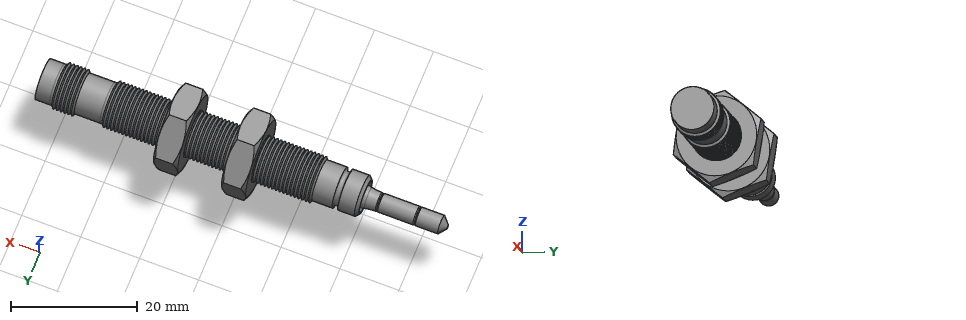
import cadquery as cq
import math

TOTAL_LENGTH = 68.6

ROD_RADIUS = 1.6
TIP_FLAT_RADIUS = 0.35
TIP_LENGTH = 1.1
BAND_WIDTH = 0.4
BAND_DEPTH = 0.1
BAND_CENTRES = (5.1, 11.45)
ROD_END = BAND_CENTRES[-1] + BAND_WIDTH / 2
SHANK_RADIUS = 1.1

BODY_DIAMETER = 6.9
BODY_RADIUS = BODY_DIAMETER / 2
BODY_START = 13.9
NOSE_CHAMFER = 0.55
RECESS_RADIUS = 2.6
NECK_CENTRE = 17.75
NECK_WIDTH = 0.95
NECK_DEPTH = 0.6

CREST_RADIUS = 3.9
ROOT_RADIUS = 3.5
RUN_OUT = 0.4
MAIN_THREAD_START = 21.7
MAIN_THREAD_LENGTH = 35.5
MAIN_THREAD_TURNS = 56
PITCH = MAIN_THREAD_LENGTH / MAIN_THREAD_TURNS
REAR_THREAD_START = 61.9
REAR_THREAD_TURNS = 6

SEAL_FLARE_RADIUS = 8.2
SEAL_FLARE_LENGTH = 1.8
SEAL_RADIUS = 1.9
SEAL_SEAT_START = BODY_START + RECESS_RADIUS - SEAL_RADIUS
SEAL_SEAT_DEPTH = 2.75
SEAL_END = SEAL_SEAT_START + SEAL_SEAT_DEPTH

NUT_ACROSS_CORNERS = 15.0
NUT_THICKNESS = 4.1
NUT_BORE_RADIUS = 4.0
NUT_STARTS = (31.7, 43.2)
NUT_TURN = 9.5
NUT_FACE_RADIUS = 6.45
NUT_CHAMFER_ANGLE = 30.0


def revolve_about_x(outline):
    """Close an outline drawn in X and Z, and turn it around the X axis."""
    return outline.close().revolve(360, (0, 0, 0), (1, 0, 0))


def band_groove(centre):
    """Cutter for a shallow V groove around the rod."""
    half_width = BAND_WIDTH / 2
    outline = cq.Workplane("XZ").polyline([
        (centre - half_width, ROD_RADIUS),
        (centre, ROD_RADIUS - BAND_DEPTH),
        (centre + half_width, ROD_RADIUS),
        (centre + half_width, ROD_RADIUS + BAND_DEPTH),
        (centre - half_width, ROD_RADIUS + BAND_DEPTH),
    ])
    return revolve_about_x(outline)


def make_plunger():
    outline = cq.Workplane("XZ").polyline([
        (0, 0),
        (0, TIP_FLAT_RADIUS),
        (TIP_LENGTH, ROD_RADIUS),
        (ROD_END, ROD_RADIUS),
        (ROD_END, SHANK_RADIUS),
        (SEAL_END, SHANK_RADIUS),
        (SEAL_END, 0),
    ])
    plunger = revolve_about_x(outline)
    for centre in BAND_CENTRES:
        plunger = plunger.cut(band_groove(centre))
    return plunger


def make_seal():
    """Sleeve that flares from the rod radius through an arc and a tangent cone to the seat."""
    flare_angle = math.asin(SEAL_FLARE_LENGTH / SEAL_FLARE_RADIUS)
    flare_end = ROD_END + SEAL_FLARE_LENGTH
    flare_end_radius = ROD_RADIUS + SEAL_FLARE_RADIUS * (1 - math.cos(flare_angle))
    cone_end = flare_end + (SEAL_RADIUS - flare_end_radius) / math.tan(flare_angle)
    outline = (
        cq.Workplane("XZ")
        .moveTo(ROD_END, SHANK_RADIUS)
        .lineTo(ROD_END, ROD_RADIUS)
        .radiusArc((flare_end, flare_end_radius), -SEAL_FLARE_RADIUS)
        .lineTo(cone_end, SEAL_RADIUS)
        .lineTo(SEAL_END, SEAL_RADIUS)
        .lineTo(SEAL_END, SHANK_RADIUS)
    )
    return revolve_about_x(outline)


def thread_points(start, turns):
    """Crests and roots of one threaded stretch, rising from the body and tapering back to it."""
    points = [(start, BODY_RADIUS)]
    for turn in range(turns):
        points.append((start + (turn + 0.5) * PITCH, CREST_RADIUS))
        points.append((start + (turn + 1) * PITCH, ROOT_RADIUS))
    points.append((start + turns * PITCH + RUN_OUT, BODY_RADIUS))
    return points


def neck_groove():
    """Cutter for a ring groove whose floor is a circular arc."""
    left = NECK_CENTRE - NECK_WIDTH / 2
    right = NECK_CENTRE + NECK_WIDTH / 2
    outer_radius = BODY_RADIUS + NECK_DEPTH
    outline = (
        cq.Workplane("XZ")
        .moveTo(left, BODY_RADIUS)
        .threePointArc((NECK_CENTRE, BODY_RADIUS - NECK_DEPTH), (right, BODY_RADIUS))
        .lineTo(right, outer_radius)
        .lineTo(left, outer_radius)
    )
    return revolve_about_x(outline)


def make_housing():
    outline = cq.Workplane("XZ").polyline([
        (SEAL_END, 0),
        (SEAL_END, SEAL_RADIUS),
        (SEAL_SEAT_START, SEAL_RADIUS),
        (BODY_START, RECESS_RADIUS),
        (BODY_START, BODY_RADIUS - NOSE_CHAMFER),
        (BODY_START + NOSE_CHAMFER, BODY_RADIUS),
        *thread_points(MAIN_THREAD_START, MAIN_THREAD_TURNS),
        *thread_points(REAR_THREAD_START, REAR_THREAD_TURNS),
        (TOTAL_LENGTH, BODY_RADIUS),
        (TOTAL_LENGTH, 0),
    ])
    return revolve_about_x(outline).cut(neck_groove())


def make_nut(start):
    end = start + NUT_THICKNESS
    corner_radius = NUT_ACROSS_CORNERS / 2
    chamfer_length = (corner_radius - NUT_FACE_RADIUS) * math.tan(math.radians(NUT_CHAMFER_ANGLE))
    hexagon = (
        cq.Workplane("YZ", origin=(start, 0, 0))
        .polygon(6, NUT_ACROSS_CORNERS)
        .extrude(NUT_THICKNESS)
        .rotate((0, 0, 0), (1, 0, 0), 90 - NUT_TURN)
    )
    chamfer_envelope = revolve_about_x(cq.Workplane("XZ").polyline([
        (start, 0),
        (start, NUT_FACE_RADIUS),
        (start + chamfer_length, corner_radius),
        (end - chamfer_length, corner_radius),
        (end, NUT_FACE_RADIUS),
        (end, 0),
    ]))
    bore = cq.Workplane("YZ", origin=(start, 0, 0)).circle(NUT_BORE_RADIUS).extrude(NUT_THICKNESS)
    return hexagon.intersect(chamfer_envelope).cut(bore)


plunger = make_plunger()
seal = make_seal()
housing = make_housing()
nuts = [make_nut(start) for start in NUT_STARTS]

result = cq.Compound.makeCompound([
    plunger.solids().val(),
    seal.solids().val(),
    housing.solids().val(),
    *[nut.solids().val() for nut in nuts],
])